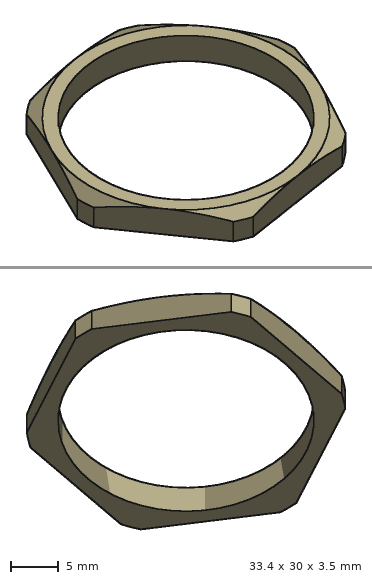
import cadquery as cq
import math

side_count = 6
across_flats = 30.0
thickness = 3.5
bore_diameter = 26.7
corner_diameter = 33.44
chamfer_angle = 25.0

flat_radius = across_flats / 2
corner_radius = corner_diameter / 2
chamfer_drop = (corner_radius - flat_radius) * math.tan(math.radians(chamfer_angle))


def hexagonal_prism():
    """Hexagon with two corners on the X axis, standing on the XY plane."""
    across_corners = across_flats / math.cos(math.pi / side_count)
    return cq.Workplane("XY").polygon(side_count, across_corners).extrude(thickness)


def chamfered_disc():
    """Turned blank that rounds the corners and slopes down from the top face's rim."""
    return (
        cq.Workplane("XZ")
        .moveTo(0, 0)
        .lineTo(corner_radius, 0)
        .lineTo(corner_radius, thickness - chamfer_drop)
        .lineTo(flat_radius, thickness)
        .lineTo(0, thickness)
        .close()
        .revolve(360, (0, 0, 0), (0, 1, 0))
    )


def bore():
    """Plain through hole on the nut axis."""
    return cq.Workplane("XY").circle(bore_diameter / 2).extrude(thickness)


result = hexagonal_prism().intersect(chamfered_disc()).cut(bore())